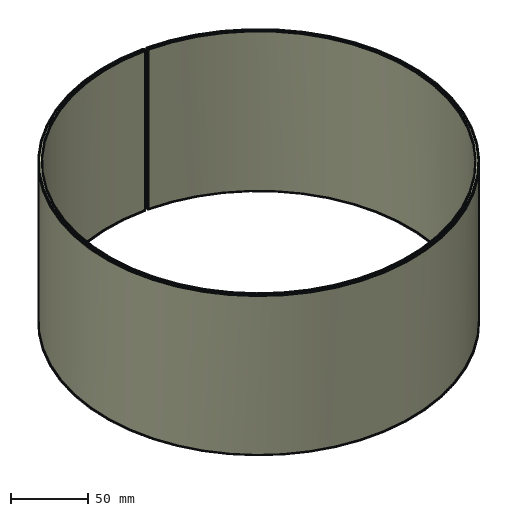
import cadquery as cq

OUTER_DIAMETER = 285.0
WALL = 2.5
HEIGHT = 130.0
OUTER_CHAMFER = 0.5
INNER_CHAMFER = 0.2
SPLIT_ANGLE = 1.0

FULL_TURN = 360.0

outer_radius = OUTER_DIAMETER / 2
inner_radius = outer_radius - WALL


def make_wall_profile():
    """Wall section in the XZ plane at -X, chamfered at all four corners."""
    return (
        cq.Workplane("XZ")
        .moveTo(-outer_radius, OUTER_CHAMFER)
        .lineTo(-outer_radius, HEIGHT - OUTER_CHAMFER)
        .lineTo(-outer_radius + OUTER_CHAMFER, HEIGHT)
        .lineTo(-inner_radius - INNER_CHAMFER, HEIGHT)
        .lineTo(-inner_radius, HEIGHT - INNER_CHAMFER)
        .lineTo(-inner_radius, INNER_CHAMFER)
        .lineTo(-inner_radius - INNER_CHAMFER, 0)
        .lineTo(-outer_radius + OUTER_CHAMFER, 0)
        .close()
    )


def make_split_ring():
    """Sweep the wall around Z, counterclockwise from -X, stopping short of a full turn.

    One end face lies on the XZ plane; the opening is on its +Y side.
    """
    return make_wall_profile().revolve(FULL_TURN - SPLIT_ANGLE, (0, 0, 0), (0, 1, 0))


result = make_split_ring()